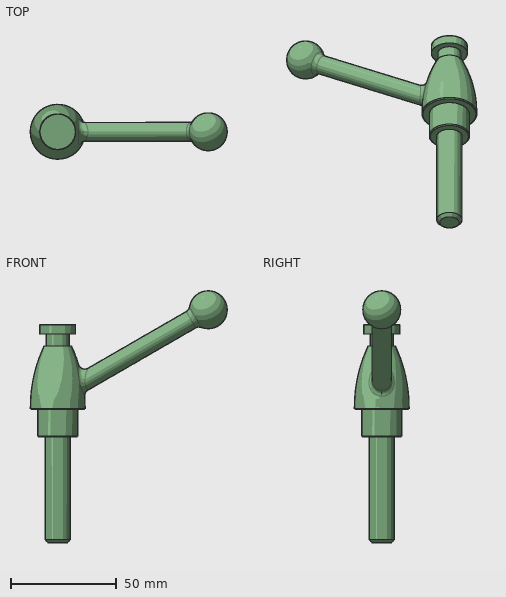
import cadquery as cq
import math

STUD_LENGTH = 50.0
COLLAR_HEIGHT = 13.0
BODY_HEIGHT = 30.0
NECK_HEIGHT = 5.5
BUTTON_HEIGHT = 4.5
BODY_BOTTOM = STUD_LENGTH + COLLAR_HEIGHT
BODY_TOP = BODY_BOTTOM + BODY_HEIGHT
BUTTON_BOTTOM = BODY_TOP + NECK_HEIGHT

STUD_DIAMETER = 12.0
STUD_TIP_DIAMETER = 9.0
STUD_CHAMFER = (STUD_DIAMETER - STUD_TIP_DIAMETER) / 2
COLLAR_DIAMETER = 19.0
BODY_BOTTOM_DIAMETER = 26.0
BODY_TOP_DIAMETER = 13.0
NECK_DIAMETER = 11.0
BUTTON_DIAMETER = 17.0
EDGE_CHAMFER = 0.5
TOP_EDGE_CHAMFER = 0.2

LEVER_ANGLE = math.radians(30.0)
LEVER_LENGTH = 82.0
LEVER_RISE_ABOVE_BODY_BOTTOM = 6.0
LEVER_ORIGIN = cq.Vector(0, 0, BODY_BOTTOM + LEVER_RISE_ABOVE_BODY_BOTTOM)
LEVER_DIRECTION = cq.Vector(math.cos(LEVER_ANGLE), 0, math.sin(LEVER_ANGLE))
LEVER_DIAMETER = 9.0
BALL_DIAMETER = 18.0
LEVER_FILLET = 3.0


def cylinder(diameter, bottom, height):
    """Upright cylinder on the main axis."""
    return cq.Workplane("XY").workplane(offset=bottom).circle(diameter / 2).extrude(height)


def make_stud():
    """Stud with a chamfered tip."""
    return cylinder(STUD_DIAMETER, 0, STUD_LENGTH).faces("<Z").chamfer(STUD_CHAMFER)


def make_collar():
    """Plain collar under the body, its lower edge broken."""
    return cylinder(COLLAR_DIAMETER, STUD_LENGTH, COLLAR_HEIGHT).faces("<Z").chamfer(EDGE_CHAMFER)


def make_body():
    """Bulging body turned from an arc that is vertical at the bottom of the flank."""
    bottom_radius = BODY_BOTTOM_DIAMETER / 2
    top_radius = BODY_TOP_DIAMETER / 2
    flank_bottom = BODY_BOTTOM + EDGE_CHAMFER
    taper = bottom_radius - top_radius
    flank_height = BODY_TOP - flank_bottom
    arc_radius = (flank_height**2 + taper**2) / (2 * taper)
    arc_centre = bottom_radius - arc_radius
    middle_height = flank_height / 2
    middle_radius = arc_centre + math.sqrt(arc_radius**2 - middle_height**2)
    return (
        cq.Workplane("XZ")
        .moveTo(0, BODY_BOTTOM)
        .lineTo(bottom_radius - EDGE_CHAMFER, BODY_BOTTOM)
        .lineTo(bottom_radius, flank_bottom)
        .threePointArc((middle_radius, flank_bottom + middle_height), (top_radius, BODY_TOP))
        .lineTo(0, BODY_TOP)
        .close()
        .revolve(360, (0, 0, 0), (0, 1, 0))
        .faces(">Z")
        .chamfer(TOP_EDGE_CHAMFER)
    )


def make_button():
    """Push button: a disc on a slimmer neck."""
    neck = cylinder(NECK_DIAMETER, BODY_TOP, NECK_HEIGHT)
    disc = cylinder(BUTTON_DIAMETER, BUTTON_BOTTOM, BUTTON_HEIGHT).faces(">Z").chamfer(TOP_EDGE_CHAMFER)
    return neck.union(disc)


def lever_point(distance):
    """Point on the lever axis at a distance from the main axis."""
    return LEVER_ORIGIN + LEVER_DIRECTION * distance


def make_lever_rod():
    """Round rod from the main axis to the ball centre."""
    rod = cq.Solid.makeCylinder(LEVER_DIAMETER / 2, LEVER_LENGTH, LEVER_ORIGIN, LEVER_DIRECTION)
    return cq.Workplane(rod)


def make_ball():
    """Ball knob centred on the end of the rod."""
    centre = lever_point(LEVER_LENGTH)
    return cq.Workplane("XY").sphere(BALL_DIAMETER / 2).translate(centre)


def make_handle():
    """Body, rod and ball in one piece, with fillets at both ends of the rod."""
    handle = make_body().union(make_lever_rod()).union(make_ball())
    rod_face = handle.faces(cq.NearestToPointSelector(lever_point(LEVER_LENGTH / 2).toTuple()))
    rod_ends = rod_face.edges("not %LINE")
    return rod_ends.fillet(LEVER_FILLET)


result = make_stud().union(make_collar()).union(make_handle()).union(make_button())